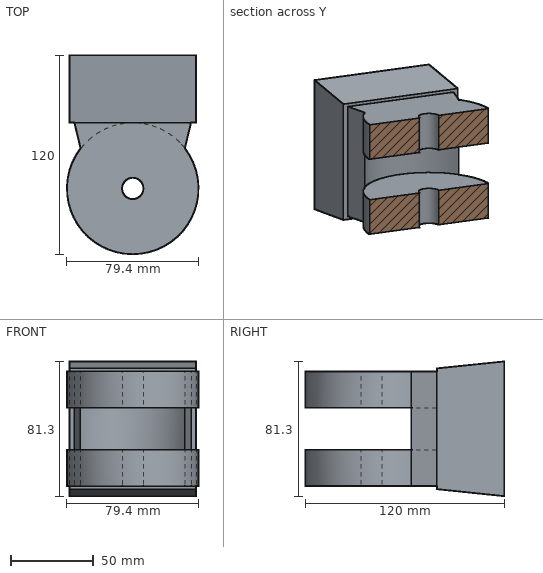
import cadquery as cq
import math

total_length = 120.0
lug_radius = 39.7
pin_hole_diameter = 12.7
fork_height = 69.1
gap_height = 25.2
neck_tip_width = 63.0
neck_root_width = 70.4
base_width = 76.4
base_back_height = 81.3
base_front_height = 72.9

base_back_y = total_length - lug_radius
base_front_y = lug_radius
neck_tip_y = math.sqrt(lug_radius**2 - (neck_tip_width / 2) ** 2)


def centered_disc(radius, height):
    """Cylinder on the pin axis, centred on the mid plane."""
    return cq.Workplane("XY").circle(radius).extrude(height / 2, both=True)


def tapered_base():
    """Block whose top and bottom slope apart towards the back."""
    return (
        cq.Workplane("YZ")
        .polyline([
            (base_front_y, -base_front_height / 2),
            (base_back_y, -base_back_height / 2),
            (base_back_y, base_back_height / 2),
            (base_front_y, base_front_height / 2),
        ])
        .close()
        .extrude(base_width / 2, both=True)
    )


def neck():
    """Web that narrows from the base to the rim of the lugs."""
    return (
        cq.Workplane("XY")
        .polyline([
            (-neck_root_width / 2, base_front_y),
            (-neck_tip_width / 2, neck_tip_y),
            (neck_tip_width / 2, neck_tip_y),
            (neck_root_width / 2, base_front_y),
        ])
        .close()
        .extrude(fork_height / 2, both=True)
    )


fork = neck().union(centered_disc(lug_radius, fork_height))
fork = fork.cut(centered_disc(lug_radius, gap_height))
fork = fork.cut(centered_disc(pin_hole_diameter / 2, fork_height))

result = tapered_base().union(fork)